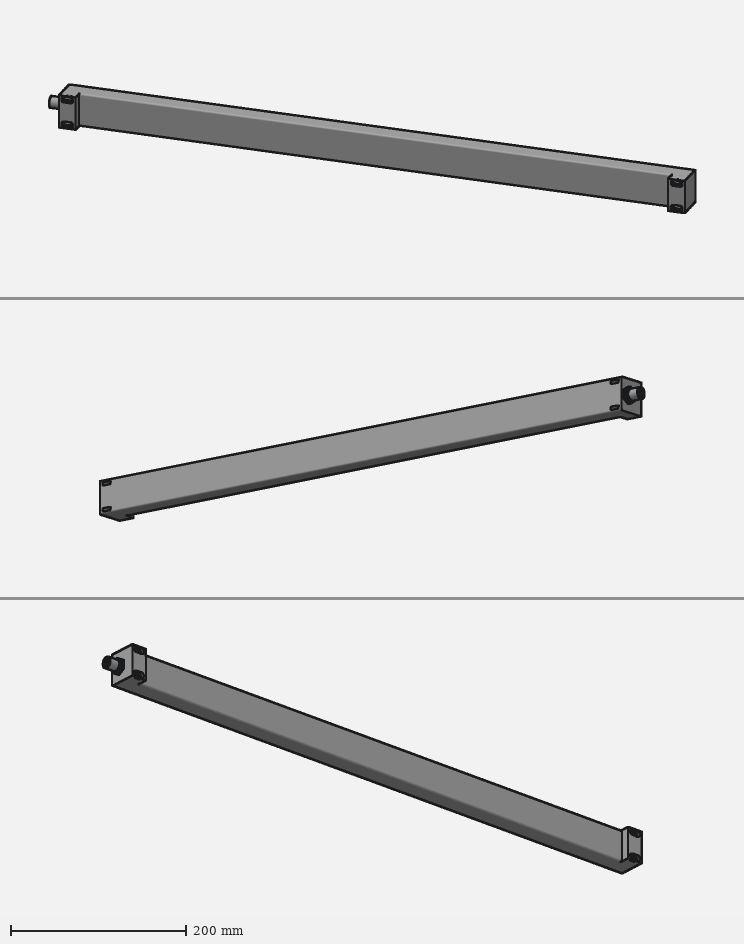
import cadquery as cq

length = 778.0
depth = 36.5

bar_flat_depth = 21.0
bar_flat_height = 36.0
bar_round = 2.1

foot_length = 20.0

slot_length = 12.0
slot_width = 4.0
counterbore_length = 14.0
counterbore_width = 7.0
counterbore_depth = 5.0
end_wall = 2.95
slot_edge_distance = 5.0

plug_length = 15.5
plug_diameter = 14.0
nut_flats = 18.0
nut_thickness = 2.7
socket_diameter = 12.0
socket_depth = 14.0
pin_diameter = 1.5
pin_circle_radius = 3.0
pin_count = 4
first_pin_angle = 45

bar_depth = bar_flat_depth + 2 * bar_round
height = bar_flat_height + 2 * bar_round
body_start = plug_length + nut_thickness
mid_x = (body_start + length) / 2
mid_z = height / 2
connector_y = depth - bar_depth / 2
slot_offset_x = length - end_wall - counterbore_length / 2 - mid_x
slot_offset_z = mid_z - slot_edge_distance


def box(x_range, y_range, z_range):
    """Box filling the given coordinate ranges."""
    sizes = [high - low for low, high in (x_range, y_range, z_range)]
    corner = (x_range[0], y_range[0], z_range[0])
    return cq.Workplane("XY").box(*sizes, centered=False).translate(corner)


def connector_plane(x):
    """Plane across the connector axis at the given x, facing +X."""
    return cq.Workplane("YZ", origin=(x, connector_y, mid_z))


def make_housing():
    """Long bar with rounded edges and a foot reaching to -Y at each end."""
    housing = box((body_start, length), (depth - bar_depth, depth), (0, height))
    housing = housing.edges("|X").fillet(bar_round)
    foot_back = depth - bar_round
    for start in (body_start, length - foot_length):
        foot = box((start, start + foot_length), (0, foot_back), (0, height))
        housing = housing.union(foot)
    return housing


def cut_mounting_slots(body):
    """Cut slots through Y near the top and bottom of each foot, counterbored from -Y."""
    for side_x in (-1, 1):
        for side_z in (-1, 1):
            x = mid_x + side_x * slot_offset_x
            z = mid_z + side_z * slot_offset_z
            face = cq.Workplane("XZ", origin=(x, 0, z))
            slot = face.slot2D(slot_length, slot_width).extrude(-depth)
            counterbore = face.slot2D(counterbore_length, counterbore_width).extrude(-counterbore_depth)
            body = body.cut(slot).cut(counterbore)
    return body


def make_connector():
    """Hexagon nut and a round plug with pins in a socket at its free end."""
    nut = connector_plane(plug_length).polygon(6, nut_flats, circumscribed=True).extrude(nut_thickness)
    plug = connector_plane(0).circle(plug_diameter / 2).extrude(body_start)
    socket = connector_plane(0).circle(socket_diameter / 2).extrude(socket_depth)
    pins = (
        connector_plane(0)
        .polarArray(pin_circle_radius, first_pin_angle, 360, pin_count)
        .circle(pin_diameter / 2)
        .extrude(socket_depth)
    )
    return nut.union(plug).cut(socket).union(pins)


result = cut_mounting_slots(make_housing()).union(make_connector())